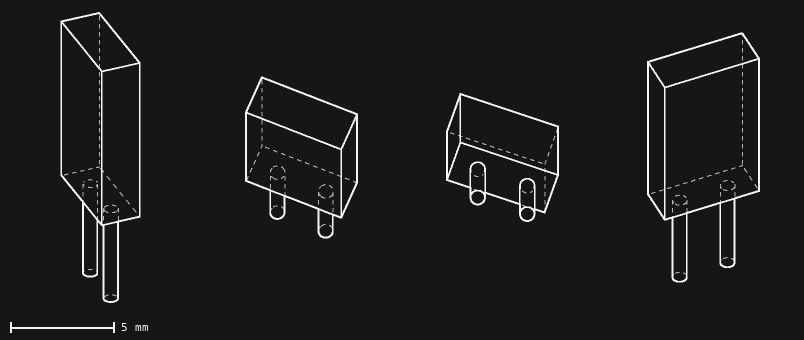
import cadquery as cq

total_height = 13.85
body_width = 5.0
body_depth = 2.0
body_height = 8.75

lead_diameter = 0.7
lead_pitch = 2.53
lead_length = total_height - body_height


def make_body():
    """Plain rectangular block standing on the XY plane."""
    return cq.Workplane("XY").box(body_width, body_depth, body_height, centered=(True, True, False))


def make_lead(x):
    """Straight round lead hanging from the underside of the body."""
    return cq.Workplane("XY").center(x, 0).circle(lead_diameter / 2).extrude(-lead_length)


body = make_body()
leads = [make_lead(side * lead_pitch / 2) for side in (-1, 1)]

result = cq.Compound.makeCompound([body.val(), *[lead.val() for lead in leads]])